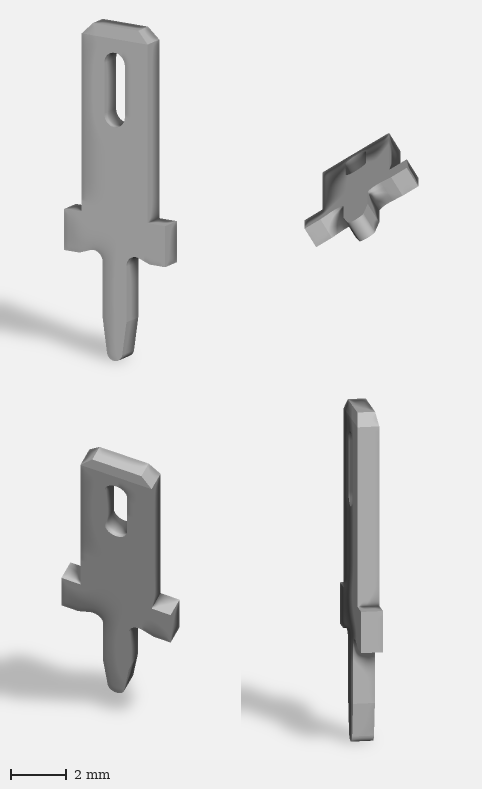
import cadquery as cq
import math

height = 12.45
thickness = 0.8
shoulder_width = 4.3

blade_width = 2.8
bevel_height = 0.44
side_bevel = 0.44
face_bevel = 0.07

slot_width = 0.87
slot_length = 2.78
slot_center_z = 10.11

shoulder_top = 5.35
shoulder_bottom = 3.82
notch_radius = 0.4
notch_center_z = 3.61
notch_slope = math.radians(20)

pin_width = 1.01
taper_start_z = 1.52
tip_half_width = 0.32
tip_arc_height = 0.26


def right_half_outline():
    """Closed XZ outline from the centre line to the right-hand edge."""
    pin_half = pin_width / 2
    notch_center_x = pin_half + notch_radius
    half_turn = (notch_slope - math.pi / 2) / 2

    def notch_point(angle):
        return (
            notch_center_x + notch_radius * math.sin(angle),
            notch_center_z + notch_radius * math.cos(angle),
        )

    slope_start = notch_point(notch_slope)
    slope_run = (slope_start[1] - shoulder_bottom) / math.tan(notch_slope)

    tip_radius = (tip_half_width**2 + tip_arc_height**2) / (2 * tip_arc_height)
    mid_angle = math.acos(1 - tip_arc_height / tip_radius) / 2
    tip_middle = (tip_radius * math.sin(mid_angle), tip_radius * (1 - math.cos(mid_angle)))

    return (
        cq.Workplane("XZ")
        .moveTo(0, 0)
        .threePointArc(tip_middle, (tip_half_width, tip_arc_height))
        .lineTo(pin_half, taper_start_z)
        .lineTo(pin_half, notch_center_z)
        .threePointArc(notch_point(half_turn), slope_start)
        .lineTo(slope_start[0] + slope_run, shoulder_bottom)
        .lineTo(shoulder_width / 2, shoulder_bottom)
        .lineTo(shoulder_width / 2, shoulder_top)
        .lineTo(blade_width / 2, shoulder_top)
        .lineTo(blade_width / 2, height - bevel_height)
        .lineTo(blade_width / 2 - side_bevel, height)
        .lineTo(0, height)
        .close()
    )


def make_plate():
    half = right_half_outline().extrude(thickness / 2, both=True)
    return half.union(half.mirror("YZ")).clean()


def make_slot():
    return (
        cq.Workplane("XZ")
        .center(0, slot_center_z)
        .slot2D(slot_length, slot_width, 90)
        .extrude(thickness, both=True)
    )


def make_face_bevels():
    """Wedges that thin the front and back faces at the top of the blade."""
    face = thickness / 2
    wedge = (
        cq.Workplane("YZ")
        .polyline([(face, height - bevel_height), (face, height), (face - face_bevel, height)])
        .close()
        .extrude(blade_width, both=True)
    )
    return wedge.union(wedge.mirror("XZ"))


result = make_plate().cut(make_slot()).cut(make_face_bevels())